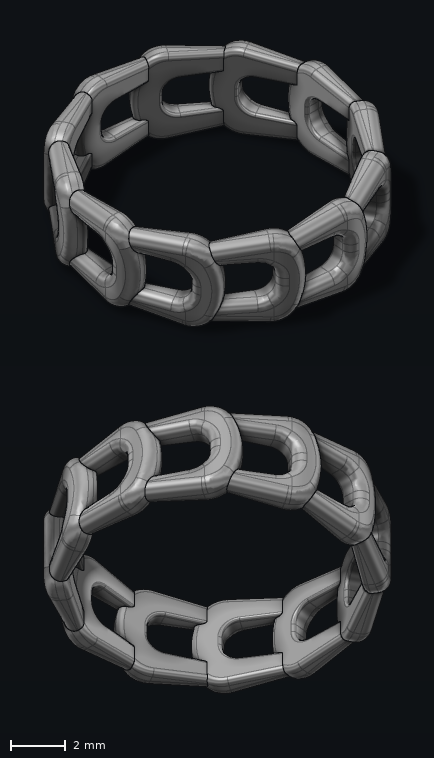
import cadquery as cq

LINK_COUNT = 12
INNER_APOTHEM = 5.26

ARM_START = -1.69
ARM_START_HALF_HEIGHT = 1.74
CORNER_X = 1.35
CORNER_HALF_HEIGHT = 2.07
END_TIP = 2.05
CORNER_RADIUS = 1.13

DEPTH_AT_ARM_START = 0.73
DEPTH_AT_CREST_START = 0.99
CREST_START = 0.75
DEPTH_AT_TIP = 0.75

SLOT_HALF_HEIGHT = 0.85
SLOT_END = 0.88
SLOT_CORNER_RADIUS = 0.68

OUTER_ROUND = 0.48
INNER_ROUND = 0.24
SLOT_OUTER_ROUND = 0.4
SLOT_INNER_ROUND = 0.13

LINK_ANGLE = 360 / LINK_COUNT
INNER_FACE_Y = -INNER_APOTHEM
BLANK_DEPTH = 2 * DEPTH_AT_CREST_START
RING_AXIS = ((0, 0, 0), (0, 0, 1))


def link_outline():
    """Tapered arms joined by a rounded, slightly bowed end, pushed outwards."""
    return (
        cq.Workplane("XZ", origin=(0, INNER_FACE_Y, 0))
        .moveTo(ARM_START, -ARM_START_HALF_HEIGHT)
        .lineTo(CORNER_X, -CORNER_HALF_HEIGHT)
        .threePointArc((END_TIP, 0), (CORNER_X, CORNER_HALF_HEIGHT))
        .lineTo(ARM_START, ARM_START_HALF_HEIGHT)
        .close()
        .extrude(BLANK_DEPTH)
        .edges("|Y")
        .edges(">X")
        .fillet(CORNER_RADIUS)
    )


def depth_profile():
    """Side profile: the link deepens towards its closed end, then rolls over."""
    return (
        cq.Workplane("XY")
        .moveTo(ARM_START, INNER_FACE_Y)
        .lineTo(ARM_START, INNER_FACE_Y - DEPTH_AT_ARM_START)
        .lineTo(CREST_START, INNER_FACE_Y - DEPTH_AT_CREST_START)
        .tangentArcPoint((END_TIP, INNER_FACE_Y - DEPTH_AT_TIP), relative=False)
        .lineTo(END_TIP, INNER_FACE_Y)
        .close()
        .extrude(CORNER_HALF_HEIGHT, both=True)
    )


def slot():
    """Slot between the arms, open at the thin end."""
    length = SLOT_END - ARM_START
    return (
        cq.Workplane("XZ", origin=(ARM_START + length / 2, INNER_FACE_Y, 0))
        .rect(length, 2 * SLOT_HALF_HEIGHT)
        .extrude(BLANK_DEPTH)
        .edges("|Y and >X")
        .fillet(SLOT_CORNER_RADIUS)
    )


def round_rim(link, depth, half_height, radius):
    """Round a smooth U-shaped rim, picked by the middle of its upper arm edge."""
    arm_middle = ((ARM_START + CREST_START) / 2, INNER_FACE_Y - depth, half_height)
    return link.edges(cq.NearestToPointSelector(arm_middle)).fillet(radius)


def rounded_link():
    """Round the solid outline first, then the rims of the slot."""
    arm_half_height = (ARM_START_HALF_HEIGHT + CORNER_HALF_HEIGHT) / 2
    arm_depth = (DEPTH_AT_ARM_START + DEPTH_AT_CREST_START) / 2
    link = link_outline().intersect(depth_profile())
    link = round_rim(link, 0, arm_half_height, INNER_ROUND)
    link = round_rim(link, arm_depth, arm_half_height, OUTER_ROUND)
    link = link.cut(slot())
    link = round_rim(link, 0, SLOT_HALF_HEIGHT, SLOT_INNER_ROUND)
    return round_rim(link, arm_depth, SLOT_HALF_HEIGHT, SLOT_OUTER_ROUND)


def bore():
    """Many-sided opening whose flats are the inner faces of the links."""
    return (
        cq.Workplane("XY")
        .polygon(LINK_COUNT, 2 * INNER_APOTHEM, circumscribed=True)
        .extrude(CORNER_HALF_HEIGHT, both=True)
    )


first_link = rounded_link().cut(bore()).val()
other_links = [
    first_link.rotate(*RING_AXIS, index * LINK_ANGLE)
    for index in range(1, LINK_COUNT)
]
result = cq.Workplane(first_link.fuse(*other_links)).solids()